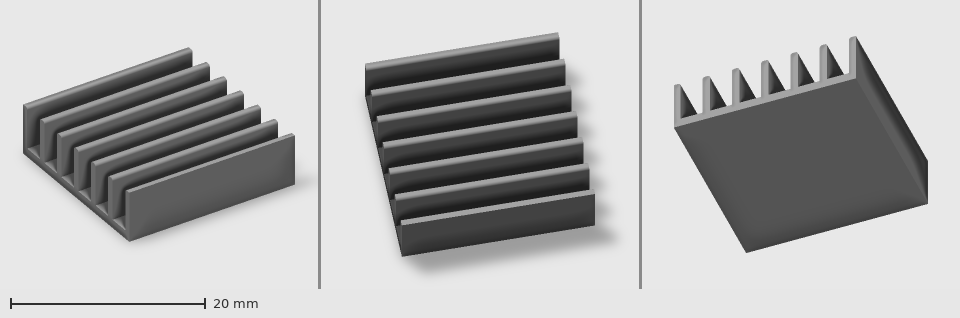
import cadquery as cq

width = 20.1
length = 20.22
height = 5.99
base_thickness = 1.01
channel_count = 6
channel_pitch = 3.24
inner_fin_thickness = 0.83
tip_radius = 0.28

channel_width = channel_pitch - inner_fin_thickness
channel_depth = height - base_thickness


def channel(center_x):
    """Full-length straight channel between two neighbouring fins."""
    return (
        cq.Workplane("XY", origin=(center_x, 0, base_thickness))
        .box(channel_width, length, channel_depth, centered=(True, True, False))
    )


def inner_tip_edges(body):
    """Lengthwise top edges of the fins, leaving out the two outermost ones."""
    return body.faces(">Z").edges("|Y").edges("not(<X or >X)")


heatsink = cq.Workplane("XY").box(width, length, height, centered=(True, True, False))

first_channel_x = -channel_pitch * (channel_count - 1) / 2
for index in range(channel_count):
    heatsink = heatsink.cut(channel(first_channel_x + index * channel_pitch))

result = inner_tip_edges(heatsink).fillet(tip_radius)